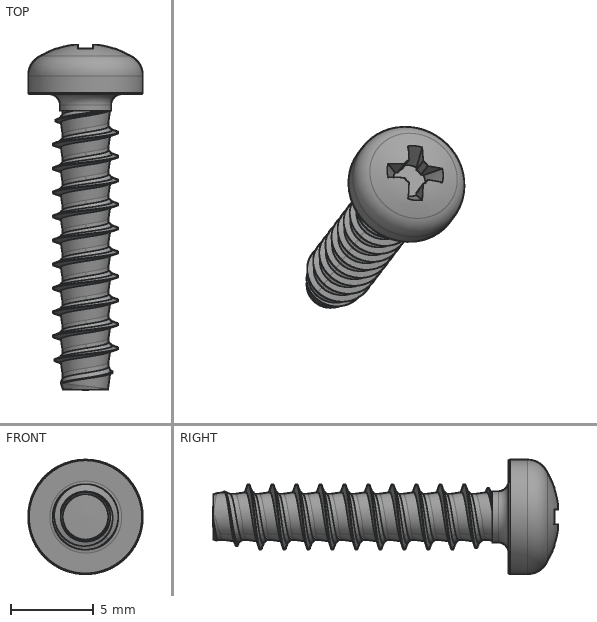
import cadquery as cq
import math


head_radius = 3.5
bearing_radius = 3.44
bearing_edge_height = 0.1
rim_height = 1.15
shoulder_radius = 2.75
shoulder_height = 2.35
dome_height = 3.1
dome_sphere_radius = (shoulder_radius**2 + (dome_height - shoulder_height) ** 2) / (
    2 * (dome_height - shoulder_height)
)

recess_wing_width = 0.89
recess_core_radius = 0.86
recess_rim_radius = 1.75
recess_rim_height = 2.78
recess_floor_radius = 1.0
recess_floor_height = 1.4
recess_overshoot = 1.0

length = 18.0
neck_radius = 1.57
neck_fillet = 0.62
neck_length = 1.0
tip_radius = 1.38
tip_cone_depth = 0.03
tip_bevel_length = 0.4
tip_edge_y = -(length - tip_cone_depth)
tip_bevel_y = tip_edge_y + tip_bevel_length

pitch = 1.46
crest_radius = 2.0
crest_width = 0.04
core_radius = 1.41
root_low_radius = 1.38
root_high_radius = 1.51
ridge_base_radius = 1.53
upper_foot_rise = 0.1
upper_flank_width = 0.13
lower_flank_width = 0.15
root_crease_offset = 0.4
root_seam_gap = 0.04
burial_radius = 1.2
full_crest_y = -2.32
full_turns = 9.3
fade_in_turns = 1.5
fade_out_turns = 0.95
first_turn = -2.125
turn_count = 14
thread_clearance = 1.0
smallest_ridge = 0.05
points_per_turn = 12


def arc_middle(start, end, center):
    """Point halfway along the short arc from start to end about center."""
    radius = math.dist(start, center)
    middle = ((start[0] + end[0]) / 2 - center[0], (start[1] + end[1]) / 2 - center[1])
    reach = math.hypot(*middle)
    return (center[0] + radius * middle[0] / reach, center[1] + radius * middle[1] / reach)


def make_head_and_core():
    """Revolved blank; profile coordinates are (Y, radius)."""
    rim = (rim_height, head_radius)
    shoulder = (shoulder_height, shoulder_radius)
    apex = (dome_height, 0)
    dome_center = (dome_height - dome_sphere_radius, 0)
    dome_middle = arc_middle(apex, shoulder, dome_center)
    return (
        cq.Workplane("YZ")
        .moveTo(-length, 0)
        .lineTo(tip_edge_y, tip_radius)
        .lineTo(tip_bevel_y, core_radius)
        .lineTo(-neck_length, core_radius)
        .lineTo(-neck_length, neck_radius)
        .lineTo(-neck_fillet, neck_radius)
        .radiusArc((0, neck_radius + neck_fillet), -neck_fillet)
        .lineTo(0, bearing_radius)
        .lineTo(bearing_edge_height, head_radius)
        .lineTo(*rim)
        .tangentArcPoint(shoulder, relative=False)
        .threePointArc(dome_middle, apex)
        .close()
        .revolve(360, (0, 0), (1, 0))
    )


def make_recess():
    """Cross recess: two crossed bars and a round core, narrowing toward the floor."""
    top = dome_height + recess_overshoot
    depth = top - recess_floor_height
    taper = (recess_rim_radius - recess_floor_radius) / (recess_rim_height - recess_floor_height)
    top_radius = recess_floor_radius + taper * depth
    span = 2 * top_radius
    middle = (0, recess_floor_height + depth / 2, 0)
    bar_x = cq.Workplane().box(span, depth, recess_wing_width).translate(middle)
    bar_z = cq.Workplane().box(recess_wing_width, depth, span).translate(middle)
    axis = cq.Vector(0, 1, 0)
    floor = cq.Vector(0, recess_floor_height, 0)
    core = cq.Solid.makeCylinder(recess_core_radius, depth, floor, axis)
    limit = cq.Solid.makeCone(recess_floor_radius, top_radius, depth, floor, axis)
    return bar_x.union(bar_z).union(core).intersect(cq.Workplane(limit))


def ridge_scale(turn):
    """Ridge size from 0 to 1; turn 0 is the first full crest."""
    if turn < 0:
        part = 1 + turn / fade_in_turns
    else:
        part = 1 - (turn - full_turns) / fade_out_turns
    return min(1, max(smallest_ridge, part))


def thread_section(scale):
    """Thread outline as (Y from the crest, radius), from the root seam up and over the ridge."""
    top = ridge_base_radius + scale * (crest_radius - ridge_base_radius)
    upper_foot_radius = ridge_base_radius + scale * upper_foot_rise
    half_crest = crest_width / 2
    lower_foot = -half_crest - scale * lower_flank_width
    upper_foot = half_crest + scale * upper_flank_width
    seam_low = root_crease_offset - pitch + root_seam_gap
    return [
        (seam_low, burial_radius),
        (seam_low, root_low_radius),
        (lower_foot, root_high_radius),
        (-half_crest, top),
        (half_crest, top),
        (upper_foot, upper_foot_radius),
        (root_crease_offset, root_low_radius),
        (root_crease_offset, burial_radius),
    ]


def thread_point(turn, corner):
    """Place one corner of the section on its helix; whole turns lie on the +X side."""
    offset, radius = thread_section(ridge_scale(turn))[corner]
    angle = 2 * math.pi * turn
    y = full_crest_y - pitch * turn + offset
    return cq.Vector(radius * math.cos(angle), y, radius * math.sin(angle))


def make_thread_turn(first):
    """One turn of thread: ruled helical faces between corner rails, with a flat face at each end."""
    turns = [first + i / points_per_turn for i in range(points_per_turn + 1)]
    corners = range(len(thread_section(1)))
    rails = [
        cq.Edge.makeSpline([thread_point(turn, c) for turn in turns], parameters=turns) for c in corners
    ]
    faces = [cq.Face.makeRuledSurface(rails[c - 1], rails[c]) for c in corners]
    for turn in (turns[0], turns[-1]):
        outline = [thread_point(turn, c) for c in corners]
        faces.append(cq.Face.makeFromWires(cq.Wire.makePolygon(outline, close=True)))
    return cq.Solid.makeSolid(cq.Shell.makeShell(faces))


def make_thread_limit():
    """Space the thread may fill: neck end to tip, bevelled at the tip."""
    clear_radius = crest_radius + thread_clearance
    return (
        cq.Workplane("YZ")
        .moveTo(-neck_length, 0)
        .lineTo(-neck_length, clear_radius)
        .lineTo(tip_bevel_y, clear_radius)
        .lineTo(tip_bevel_y, root_high_radius)
        .lineTo(tip_edge_y, tip_radius)
        .lineTo(tip_edge_y, 0)
        .close()
        .revolve(360, (0, 0), (1, 0))
    )


thread_limit = make_thread_limit().val()
result = make_head_and_core()
for index in range(turn_count):
    thread_turn = make_thread_turn(first_turn + index)
    result = result.union(cq.Workplane(thread_turn.intersect(thread_limit)))
result = result.cut(make_recess()).solids()